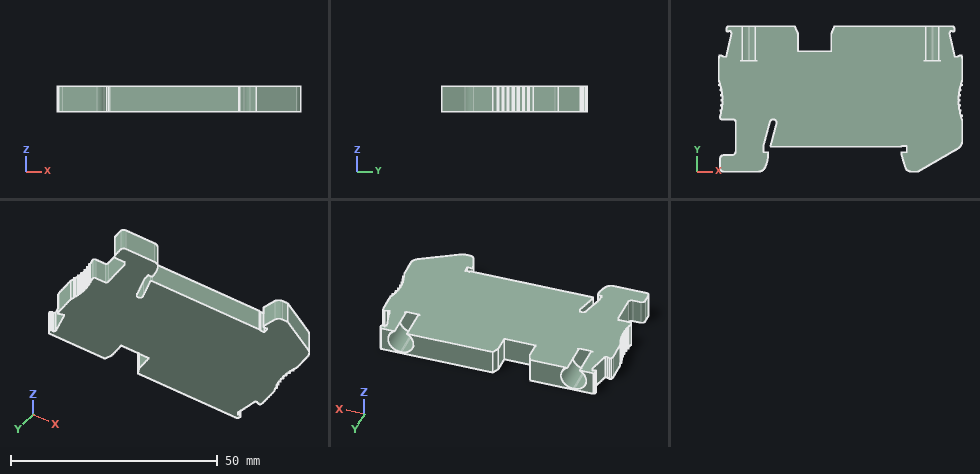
import cadquery as cq
import math

LENGTH = 59.0
HEIGHT = 35.2
THICKNESS = 6.2

SHOULDER_START_Y = 27.3
SHOULDER_TOP_Y = 28.15
SHOULDER_Y = 27.85
NECK_FOOT_X = 1.8
NECK_TOP_X = 3.1
NECK_TOP_Y = 33.5
LIP_UNDERSIDE_Y = 34.05
LIP_TIP_X = 1.8

NOTCH_LEFT = 19.25
NOTCH_RIGHT = 27.25
NOTCH_FLOOR_Y = 29.2
NOTCH_CHAMFER_X = 0.75
NOTCH_CHAMFER_Y = 1.75

RAIL_SEAT_Y = 6.0
HOOK_TOP_Y = 4.8
HOOK_TIP_Y = 4.3
HOOK_CORNER_RADIUS = 0.25
HOOK_BULGE_Y = 1.1
LEFT_HOOK_TIP_X = 12.05
LEFT_HOOK_ROOT_X = 10.9
RIGHT_HOOK_TIP_X = 44.2
RIGHT_HOOK_ROOT_X = 45.5
RIGHT_HOOK_FOOT_X = 46.65
RIGHT_HOOK_BULGE_X = 45.15
LEFT_HOOK_FOOT_X = 9.55
LEFT_HOOK_BULGE_X = 11.3
SEAT_RAMP_LEFT_X = 43.95
SEAT_RAMP_RIGHT_X = 44.4
SEAT_RELIEF_DEPTH = 0.2

SLOPE_START_X = 48.2
SLOPE_ANGLE = 30.0
SLOPE_TOP_Y = (LENGTH - SLOPE_START_X) * math.tan(math.radians(SLOPE_ANGLE))
SLOPE_TOP_RADIUS = 2.35

FOOT_X = 0.35
FOOT_TOP_Y = 4.1
FOOT_RADIUS = 0.9
RECESS_X = 4.15
RECESS_TOP_Y = 12.6
RECESS_RADIUS = 0.55

SLOT_WIDTH = 1.6
SLOT_RADIUS = SLOT_WIDTH / 2
SLOT_END_X = 13.2
SLOT_END_Y = 11.85
SLOT_LEAN = math.radians(15.0)
SEAT_START_X = (
    SLOT_END_X + SLOT_RADIUS / math.cos(SLOT_LEAN) - (SLOT_END_Y - RAIL_SEAT_Y) * math.tan(SLOT_LEAN)
)
SEAT_START_RADIUS = 0.3

GRIP_Y = 17.3
GRIP_HALF_HEIGHT = 4.9
GRIP_DEPTH = 0.95
GRIP_RADIUS = (GRIP_HALF_HEIGHT**2 + GRIP_DEPTH**2) / (2 * GRIP_DEPTH)
RIB_PITCH = 1.25
RIB_BASE_WIDTH = 0.4
RIB_TIP_WIDTH = 0.2
RIB_HEIGHT = 0.3
RIB_ROOT = 0.3
RIBS_ABOVE_CENTRE = 3
LEFT_RIBS_BELOW_CENTRE = 2
RIGHT_RIBS_BELOW_CENTRE = 3

GROOVE_CENTRES_X = (7.3, 51.7)
GROOVE_END_Y = 26.85
GROOVE_MOUTH = 3.1
GROOVE_FLOOR = 0.35
GROOVE_RADIUS = 3.05


def head_points():
    """Latch corner from shoulder to top edge: shoulder, sloping neck and lip, for the left side."""
    shoulder = [
        (0, SHOULDER_START_Y),
        (0.2, SHOULDER_TOP_Y),
        (0.65, SHOULDER_TOP_Y),
        (1.3, SHOULDER_Y),
        (NECK_FOOT_X, SHOULDER_Y),
    ]
    neck = [
        (NECK_TOP_X, NECK_TOP_Y),
        (NECK_TOP_X - 0.3, LIP_UNDERSIDE_Y),
        (2.6, LIP_UNDERSIDE_Y),
    ]
    lip = [
        (LIP_TIP_X + 0.4, 33.85),
        (LIP_TIP_X + 0.1, LIP_UNDERSIDE_Y),
        (LIP_TIP_X, 34.4),
        (LIP_TIP_X + 0.1, 34.85),
        (LIP_TIP_X + 0.4, HEIGHT),
    ]
    return shoulder + neck + lip


def mirrored(points):
    """The same corner on the right side, listed from the top edge downwards."""
    return [(LENGTH - x, y) for x, y in reversed(points)]


def notch_points():
    """Notch in the top edge, widened by a chamfer at each side, listed from left to right."""
    shoulder_y = HEIGHT - NOTCH_CHAMFER_Y
    return [
        (NOTCH_LEFT - NOTCH_CHAMFER_X, HEIGHT),
        (NOTCH_LEFT, shoulder_y),
        (NOTCH_LEFT, NOTCH_FLOOR_Y),
        (NOTCH_RIGHT, NOTCH_FLOOR_Y),
        (NOTCH_RIGHT, shoulder_y),
        (NOTCH_RIGHT + NOTCH_CHAMFER_X, HEIGHT),
    ]


def slot_outline(outline):
    """Continue the outline from the rail seat around the slot to the root of the left hook."""
    across_x = SLOT_RADIUS * math.cos(SLOT_LEAN)
    across_y = SLOT_RADIUS * math.sin(SLOT_LEAN)
    right_end = (SLOT_END_X + across_x, SLOT_END_Y - across_y)
    left_end = (SLOT_END_X - across_x, SLOT_END_Y + across_y)
    tip = (SLOT_END_X + across_y, SLOT_END_Y + across_x)
    foot_y = left_end[1] - (left_end[0] - LEFT_HOOK_ROOT_X) / math.tan(SLOT_LEAN)
    outline = outline.lineTo(SEAT_START_X, RAIL_SEAT_Y).lineTo(*right_end)
    return outline.threePointArc(tip, left_end).lineTo(LEFT_HOOK_ROOT_X, foot_y)


def body_outline():
    """Whole outline of the plate with sharp corners, before the grips are hollowed."""
    head = head_points()
    outline = cq.Workplane("XY").polyline(head + notch_points() + mirrored(head))
    outline = outline.lineTo(LENGTH, SLOPE_TOP_Y).lineTo(SLOPE_START_X, 0)
    outline = (
        outline.lineTo(RIGHT_HOOK_FOOT_X, 0)
        .tangentArcPoint((RIGHT_HOOK_BULGE_X, HOOK_BULGE_Y), relative=False)
        .tangentArcPoint((RIGHT_HOOK_TIP_X, HOOK_TIP_Y), relative=False)
        .lineTo(RIGHT_HOOK_TIP_X, HOOK_TOP_Y)
        .lineTo(RIGHT_HOOK_ROOT_X, HOOK_TOP_Y)
        .lineTo(RIGHT_HOOK_ROOT_X, RAIL_SEAT_Y + SEAT_RELIEF_DEPTH)
        .lineTo(SEAT_RAMP_RIGHT_X, RAIL_SEAT_Y + SEAT_RELIEF_DEPTH)
        .lineTo(SEAT_RAMP_LEFT_X, RAIL_SEAT_Y)
    )
    outline = slot_outline(outline)
    outline = (
        outline.lineTo(LEFT_HOOK_ROOT_X, HOOK_TOP_Y)
        .lineTo(LEFT_HOOK_TIP_X, HOOK_TOP_Y)
        .lineTo(LEFT_HOOK_TIP_X, HOOK_TIP_Y)
        .tangentArcPoint((LEFT_HOOK_BULGE_X, HOOK_BULGE_Y), relative=False)
        .tangentArcPoint((LEFT_HOOK_FOOT_X, 0), relative=False)
        .lineTo(FOOT_X, 0)
        .lineTo(FOOT_X, FOOT_TOP_Y)
        .lineTo(RECESS_X, FOOT_TOP_Y)
        .lineTo(RECESS_X, RECESS_TOP_Y)
        .lineTo(FOOT_X, RECESS_TOP_Y)
        .lineTo(FOOT_X, GRIP_Y)
        .lineTo(0, GRIP_Y)
    )
    return outline.close()


def round_corner(body, x, y, radius):
    """Fillet the vertical edge nearest to the point (x, y)."""
    nearest = cq.selectors.NearestToPointSelector((x, y, THICKNESS / 2))
    return body.edges("|Z").edges(nearest).fillet(radius)


def round_corners(body):
    """Round the hooks, foot, recess, seat start and sloping corner."""
    corners = [
        (LENGTH, SLOPE_TOP_Y, SLOPE_TOP_RADIUS),
        (RIGHT_HOOK_TIP_X, HOOK_TOP_Y, HOOK_CORNER_RADIUS),
        (LEFT_HOOK_TIP_X, HOOK_TOP_Y, HOOK_CORNER_RADIUS),
        (SEAT_START_X, RAIL_SEAT_Y, SEAT_START_RADIUS),
        (FOOT_X, 0, FOOT_RADIUS),
        (FOOT_X, FOOT_TOP_Y, FOOT_RADIUS),
        (RECESS_X, FOOT_TOP_Y, FOOT_RADIUS),
        (RECESS_X, RECESS_TOP_Y, RECESS_RADIUS),
        (FOOT_X, RECESS_TOP_Y, RECESS_RADIUS),
    ]
    for x, y, radius in corners:
        body = round_corner(body, x, y, radius)
    return body


def grip_cutter(end_x, inward):
    """Cylinder that hollows one end face; inward is +1 at the left end, -1 at the right."""
    axis_x = end_x + inward * (GRIP_DEPTH - GRIP_RADIUS)
    return cq.Workplane("XY").center(axis_x, GRIP_Y).circle(GRIP_RADIUS).extrude(THICKNESS)


def grip_ribs(end_x, inward, ribs_below):
    """Tapered ribs of equal height standing on the hollow of one grip."""
    ribs = cq.Workplane("XY")
    for index in range(-ribs_below, RIBS_ABOVE_CENTRE + 1):
        offset = index * RIB_PITCH
        hollow_depth = GRIP_DEPTH - GRIP_RADIUS + math.sqrt(GRIP_RADIUS**2 - offset**2)
        root_x = end_x + inward * (hollow_depth + RIB_ROOT)
        base_x = end_x + inward * hollow_depth
        tip_x = end_x + inward * (hollow_depth - RIB_HEIGHT)
        lower_half = [
            (root_x, -RIB_BASE_WIDTH / 2),
            (base_x, -RIB_BASE_WIDTH / 2),
            (tip_x, -RIB_TIP_WIDTH / 2),
        ]
        upper_half = [(x, -y) for x, y in reversed(lower_half)]
        rib = (
            cq.Workplane("XY", origin=(0, GRIP_Y + offset, 0))
            .polyline(lower_half + upper_half)
            .close()
            .extrude(THICKNESS)
        )
        ribs = ribs.add(rib)
    return ribs.combine()


def marker_groove(centre_x):
    """Groove with a narrow flat floor and two round walls that undercut the upper face."""
    half_floor = GROOVE_FLOOR / 2
    half_mouth = GROOVE_MOUTH / 2
    rise = math.sqrt(GROOVE_RADIUS**2 - (half_mouth - half_floor) ** 2)
    axis_z = THICKNESS - rise
    floor_z = axis_z - GROOVE_RADIUS
    widest = half_floor + GROOVE_RADIUS
    return (
        cq.Workplane("XZ", origin=(centre_x, HEIGHT, 0))
        .moveTo(-half_floor, floor_z)
        .lineTo(half_floor, floor_z)
        .threePointArc((widest, axis_z), (half_mouth, THICKNESS))
        .lineTo(-half_mouth, THICKNESS)
        .threePointArc((-widest, axis_z), (-half_floor, floor_z))
        .close()
        .extrude(HEIGHT - GROOVE_END_Y)
    )


body = body_outline().extrude(THICKNESS)
body = round_corners(body)
body = body.cut(grip_cutter(0, 1)).cut(grip_cutter(LENGTH, -1))
body = body.union(grip_ribs(0, 1, LEFT_RIBS_BELOW_CENTRE))
body = body.union(grip_ribs(LENGTH, -1, RIGHT_RIBS_BELOW_CENTRE))
for centre_x in GROOVE_CENTRES_X:
    body = body.cut(marker_groove(centre_x))

result = body